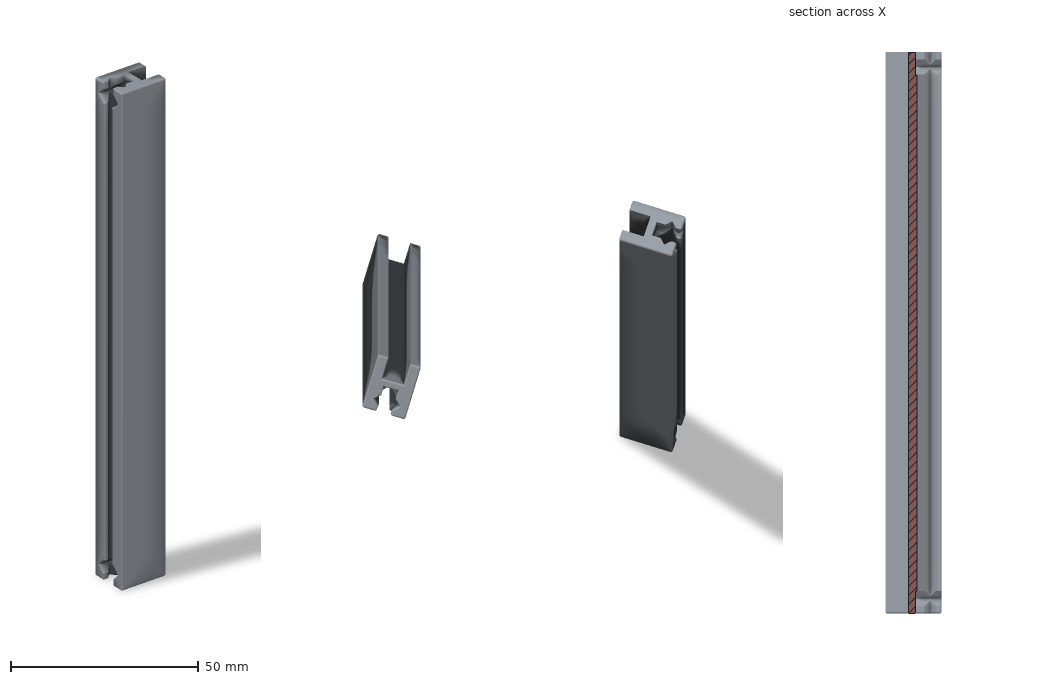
import cadquery as cq

WIDTH = 12.0
DEPTH = 15.0
LENGTH = 150.0
EDGE_RADIUS = 0.5

SLOT_WIDTH = 6.0
SLOT_DEPTH = 6.0

MOUTH_HALF_WIDTH = 1.5
GROOVE_HALF_WIDTH = 3.5
GROOVE_LIP = 1.05

POCKET_DEPTH = 7.0
POCKET_HALF_WIDTH = 4.0
POCKET_NECK_HALF_WIDTH = 2.0
POCKET_NECK_LENGTH = 2.0

FRONT_Y = -DEPTH / 2
BACK_Y = DEPTH / 2

TOLERANCE = 0.001


def mirrored_outline(half_points):
    """Close a right-hand half outline with its mirror image about the centre line."""
    left_points = [(-x, v) for x, v in reversed(half_points) if x > 0]
    return half_points + left_points


def block():
    return cq.Workplane("XY").box(WIDTH, DEPTH, LENGTH, centered=(True, True, False))


def back_slot():
    slot = cq.Workplane("XY").box(SLOT_WIDTH, SLOT_DEPTH, LENGTH, centered=(True, False, False))
    return slot.translate((0, BACK_Y - SLOT_DEPTH, 0))


def front_groove():
    widest_y = FRONT_Y + GROOVE_LIP + GROOVE_HALF_WIDTH - MOUTH_HALF_WIDTH
    half_points = [
        (MOUTH_HALF_WIDTH, FRONT_Y),
        (MOUTH_HALF_WIDTH, FRONT_Y + GROOVE_LIP),
        (GROOVE_HALF_WIDTH, widest_y),
        (0, widest_y + GROOVE_HALF_WIDTH),
    ]
    return cq.Workplane("XY").polyline(mirrored_outline(half_points)).close().extrude(LENGTH)


def top_pocket():
    flank = POCKET_HALF_WIDTH - POCKET_NECK_HALF_WIDTH
    shoulder_z = LENGTH - POCKET_NECK_LENGTH
    half_points = [
        (POCKET_NECK_HALF_WIDTH, LENGTH),
        (POCKET_NECK_HALF_WIDTH, shoulder_z),
        (POCKET_HALF_WIDTH, shoulder_z - flank),
        (POCKET_NECK_HALF_WIDTH, shoulder_z - 2 * flank),
    ]
    front_plane = cq.Workplane("XZ", origin=(0, FRONT_Y, 0))
    return front_plane.polyline(mirrored_outline(half_points)).close().extrude(-POCKET_DEPTH)


def bottom_pocket():
    return top_pocket().mirror("XY", (0, 0, LENGTH / 2))


def edges_centred_in(x_range, y_range, z_range):
    """Select edges whose centres lie in the given ranges, limits included."""
    lower, upper = zip(x_range, y_range, z_range)
    return cq.selectors.BoxSelector(
        tuple(v - TOLERANCE for v in lower),
        tuple(v + TOLERANCE for v in upper),
    )


def rounded_edges():
    """All outer edges of the bar, with every rim on the front and bottom faces."""
    all_x = (-WIDTH / 2, WIDTH / 2)
    all_y = (FRONT_Y, BACK_Y)
    all_z = (0, LENGTH)
    selection = edges_centred_in(all_x, (FRONT_Y, FRONT_Y), all_z)
    selection += edges_centred_in(all_x, all_y, (0, 0))
    for side in (-1, 1):
        side_x = side * WIDTH / 2
        selection += edges_centred_in((side_x, side_x), all_y, all_z)
        prong_x = sorted((side * (SLOT_WIDTH / 2 + EDGE_RADIUS), side_x))
        selection += edges_centred_in(prong_x, (BACK_Y, BACK_Y), all_z)
    return selection


def cut_bar():
    return block().cut(back_slot()).cut(front_groove()).cut(top_pocket()).cut(bottom_pocket())


result = cut_bar().edges(rounded_edges()).fillet(EDGE_RADIUS)